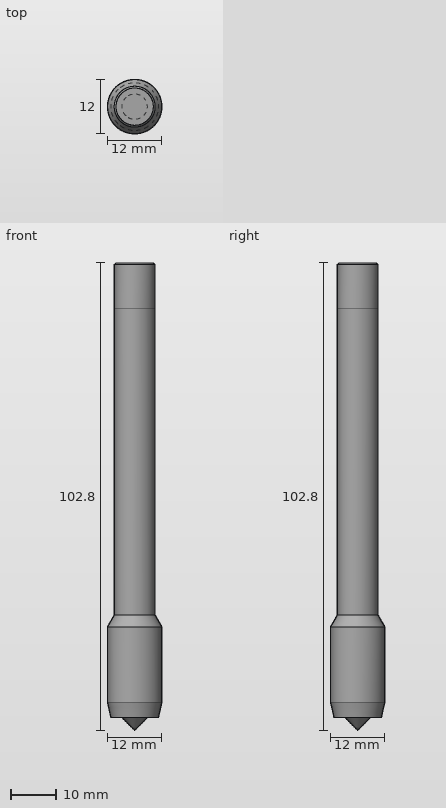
import cadquery as cq
import math


holder_length = 100.0
grip_length = 10.0
nose_length = 3.4
head_length = 20.0

shank_radius = 4.5
head_radius = 6.0
nose_angle = 12.5
shoulder_angle = 30.0
top_chamfer = 0.4

point_height = 2.78
point_half_angle = 45.0

nose_radius = head_radius - nose_length * math.tan(math.radians(nose_angle))
shoulder_length = (head_radius - shank_radius) / math.tan(math.radians(shoulder_angle))
point_radius = point_height * math.tan(math.radians(point_half_angle))


def revolve_about_z(outline):
    """Turn a closed (radius, height) outline a full circle about the Z axis."""
    profile = cq.Workplane("XZ").polyline(outline).close()
    return profile.revolve(360, (0, 0), (0, 1), clean=False)


def make_holder():
    """Tapered nose, cylindrical head, conical shoulder, shank and chamfered grip end."""
    return revolve_about_z([
        (0, 0),
        (nose_radius, 0),
        (head_radius, nose_length),
        (head_radius, head_length),
        (shank_radius, head_length + shoulder_length),
        (shank_radius, holder_length - grip_length),
        (shank_radius, holder_length - top_chamfer),
        (shank_radius - top_chamfer, holder_length),
        (0, holder_length),
    ])


def make_point():
    """Downward cone seated on the lower face of the holder."""
    return revolve_about_z([
        (0, 0),
        (0, -point_height),
        (point_radius, 0),
    ])


holder = make_holder()
point = make_point()

result = cq.Compound.makeCompound([holder.val(), point.val()])